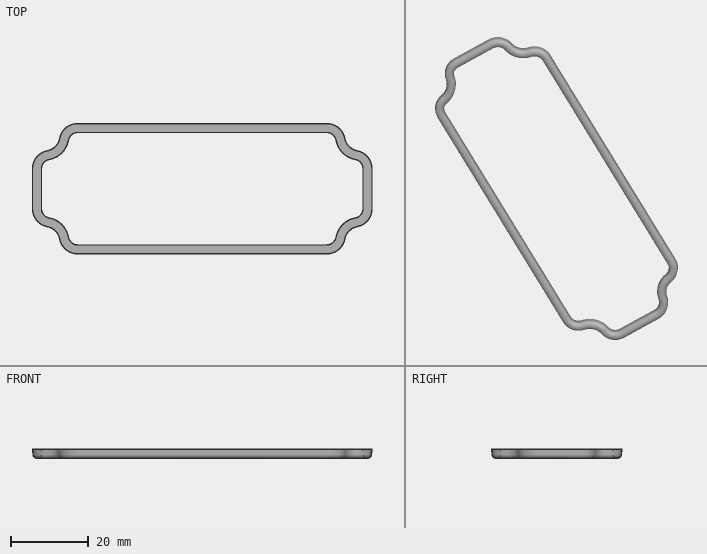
import cadquery as cq
import math

length = 87.6
width = 33.6
height = 2.4

bar_width = 2.4
draft_angle = 5.0
lower_edge_radius = 1.05

convex_radius = 4.7
corner_reach = 11.65
scallop_offset = 3.15

centre_run = convex_radius - scallop_offset
centre_rise = corner_reach - scallop_offset
scallop_radius = math.hypot(centre_run, centre_rise) - convex_radius
join_angle = math.atan2(centre_rise, centre_run)

CORNERS = [(-1, 1, True), (1, 1, False), (1, -1, True), (-1, -1, False)]


def corner_points(x_sign, y_sign, end_side_first, inset):
    """Ends and midpoints, in turn, of the three arcs of one corner."""

    def arc_point(centre, radius, angle):
        from_end = centre[0] + radius * math.cos(angle)
        from_long_side = centre[1] + radius * math.sin(angle)
        return (x_sign * (length / 2 - from_end), y_sign * (width / 2 - from_long_side))

    convex = convex_radius - inset
    scallop = scallop_radius + inset
    end_centre = (convex_radius, corner_reach)
    scallop_centre = (scallop_offset, scallop_offset)
    long_centre = (corner_reach, convex_radius)

    end_start = math.pi
    end_join = math.pi + join_angle
    long_join = -math.pi / 2 - join_angle
    long_finish = -math.pi / 2

    points = [
        arc_point(end_centre, convex, end_start),
        arc_point(end_centre, convex, (end_start + end_join) / 2),
        arc_point(end_centre, convex, end_join),
        arc_point(scallop_centre, scallop, math.pi / 4),
        arc_point(long_centre, convex, long_join),
        arc_point(long_centre, convex, (long_join + long_finish) / 2),
        arc_point(long_centre, convex, long_finish),
    ]
    if not end_side_first:
        points.reverse()
    return points


def outline_solid(inset, taper):
    """Outline moved inwards by inset, extruded down from the top rim with a taper."""
    path = cq.Workplane("XY", origin=(0, 0, height))
    for number, corner in enumerate(CORNERS):
        points = corner_points(*corner, inset)
        path = path.moveTo(*points[0]) if number == 0 else path.lineTo(*points[0])
        for middle, end in zip(points[1::2], points[2::2]):
            path = path.threePointArc(middle, end)
    return path.close().extrude(-height, taper=taper)


outer_body = outline_solid(0, draft_angle)
opening = outline_solid(bar_width, -draft_angle)
frame = outer_body.cut(opening)

result = frame.faces("<Z").edges().fillet(lower_edge_radius)